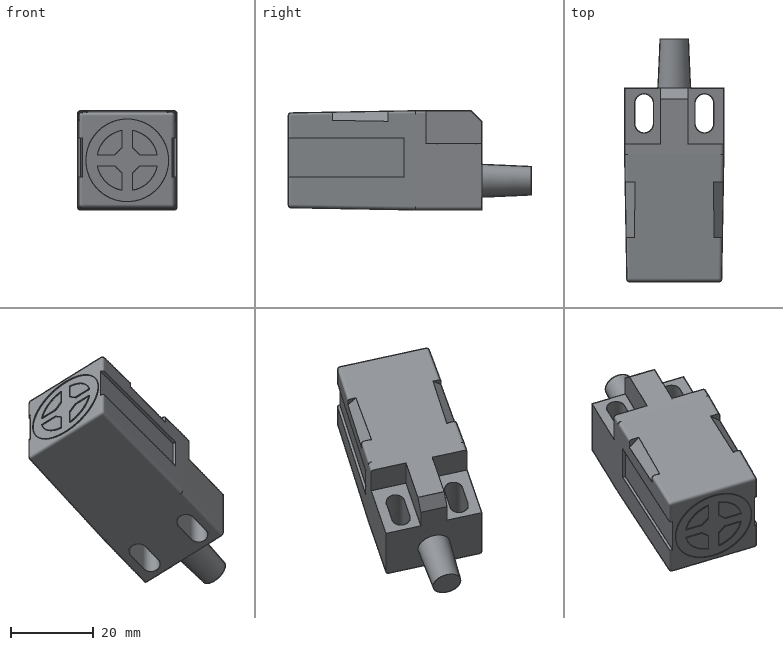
import cadquery as cq
import math

side = 24.1
half_side = side / 2
total_length = 58.9
housing_length = 46.95
draft_length = 30.85
draft_angle = 1.0
edge_radius = 0.75

shelf_length = 13.55
shelf_drop = 8.0
rib_width = 6.6
rib_chamfer = 2.65
slot_width = 4.5
slot_length = 9.4
slot_x = 7.3
slot_y = 40.8

side_recess_length = 28.1
side_recess_height = 9.5
side_recess_z = 0.7
side_recess_depth = 0.7

flat_leg = 2.7
flat_front_y = 10.7
flat_rear_y = 24.15

face_recess_radius = 10.0
face_recess_depth = 0.25
sector_outer_radius = 7.35
hub_half_diagonal = 4.35
sector_gap = 2.65

sleeve_base_radius = 4.0
sleeve_tip_radius = 3.5
sleeve_z = -4.95


def rounded_block():
    """Square block with a drafted front, rounded along its length and around its front face."""
    drafted = (
        cq.Workplane("XZ", origin=(0, draft_length, 0))
        .rect(side, side)
        .extrude(draft_length, taper=draft_angle)
        .edges("(not #Y) or <Y")
        .fillet(edge_radius)
    )
    straight = (
        cq.Workplane("XZ", origin=(0, housing_length, 0))
        .rect(side, side)
        .extrude(housing_length - draft_length)
        .edges("|Y")
        .fillet(edge_radius)
    )
    return drafted.union(straight)


def shelf_cutter(direction):
    """Block above one mounting shelf; direction is -1 or 1 along X."""
    width = half_side - rib_width / 2
    return cq.Workplane("XY").box(width, shelf_length, shelf_drop).translate((
        direction * (half_side - width / 2),
        housing_length - shelf_length / 2,
        half_side - shelf_drop / 2,
    ))


def slot_cutter(direction):
    """Vertical mounting slot through one shelf."""
    return (
        cq.Workplane("XY", origin=(direction * slot_x, slot_y, -half_side))
        .slot2D(slot_length, slot_width, 90)
        .extrude(side)
    )


def rib_chamfer_cutter():
    """Wedge that bevels the upper rear edge of the rib."""
    return (
        cq.Workplane("YZ")
        .moveTo(housing_length, half_side)
        .lineTo(housing_length - rib_chamfer, half_side)
        .lineTo(housing_length, half_side - rib_chamfer)
        .close()
        .extrude(rib_width / 2, both=True)
    )


def side_recess_cutter(direction):
    """Side-wall recess whose floor runs parallel to the drafted wall."""
    slope = math.tan(math.radians(draft_angle))
    floor_front = half_side - draft_length * slope - side_recess_depth
    floor_rear = floor_front + side_recess_length * slope
    return (
        cq.Workplane("XY", origin=(0, 0, side_recess_z))
        .moveTo(direction * floor_front, 0)
        .lineTo(direction * floor_rear, side_recess_length)
        .lineTo(direction * half_side, side_recess_length)
        .lineTo(direction * half_side, 0)
        .close()
        .extrude(side_recess_height / 2, both=True)
    )


def edge_flat_cutter(direction):
    """Wedge that cuts a 45 degree flat across one upper long edge."""
    return (
        cq.Workplane("XZ", origin=(0, flat_rear_y, 0))
        .moveTo(direction * half_side, half_side)
        .lineTo(direction * (half_side - flat_leg), half_side)
        .lineTo(direction * half_side, half_side - flat_leg)
        .close()
        .extrude(flat_rear_y - flat_front_y)
    )


def face_recess_cutter():
    """Round face recess that leaves four sectors with bevelled inner corners standing."""
    face = cq.Workplane("XZ", origin=(0, face_recess_depth, 0))
    disc = face.circle(face_recess_radius).extrude(face_recess_depth)
    sectors = face.circle(sector_outer_radius).extrude(face_recess_depth)
    hub = face.polygon(4, 2 * hub_half_diagonal).extrude(face_recess_depth)
    cross_length = 2 * face_recess_radius
    horizontal_bar = face.rect(cross_length, sector_gap).extrude(face_recess_depth)
    vertical_bar = face.rect(sector_gap, cross_length).extrude(face_recess_depth)
    return disc.cut(sectors.cut(hub).cut(horizontal_bar).cut(vertical_bar))


def make_housing():
    body = rounded_block()
    for direction in (-1, 1):
        body = body.cut(shelf_cutter(direction))
        body = body.cut(slot_cutter(direction))
        body = body.cut(side_recess_cutter(direction))
        body = body.cut(edge_flat_cutter(direction))
    body = body.cut(rib_chamfer_cutter())
    return body.cut(face_recess_cutter())


def make_cable_sleeve():
    """Tapered sleeve seated on the rear face of the housing."""
    return (
        cq.Workplane("YZ")
        .moveTo(housing_length, 0)
        .lineTo(housing_length, sleeve_base_radius)
        .lineTo(total_length, sleeve_tip_radius)
        .lineTo(total_length, 0)
        .close()
        .revolve(360, (0, 0, 0), (1, 0, 0))
        .translate((0, 0, sleeve_z))
    )


housing = make_housing()
cable_sleeve = make_cable_sleeve()
result = cq.Compound.makeCompound([housing.val(), cable_sleeve.val()])